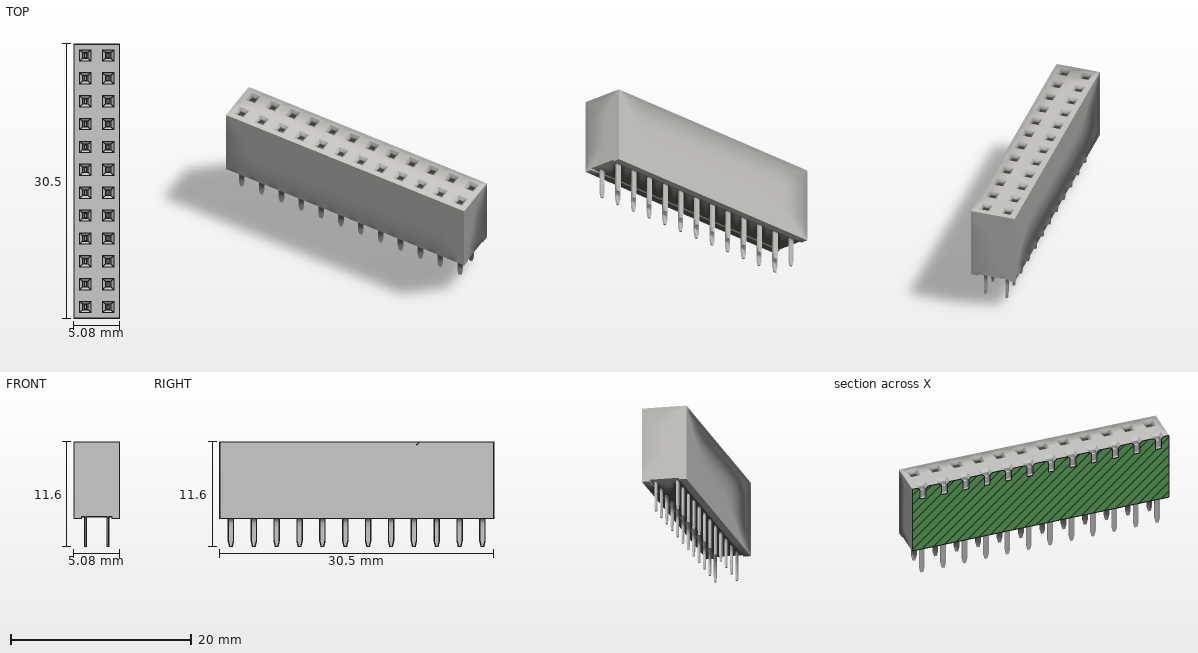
import cadquery as cq

columns = 2
rows = 12
housing_length = 30.48
pitch = housing_length / rows

housing_width = columns * pitch
housing_height = 8.5
foot_width = 0.85
foot_height = 0.18

mouth_size = 1.25
well_size = 0.65
funnel_depth = 0.3
well_depth = 1.52

strip_thickness = 0.2
strip_inset = 0.03
blade_width = 0.5
blade_top_drop = 0.6
pin_width = 0.6
pin_length = 3.1
tip_length = 0.65
tip_width = 0.3


def grid_positions():
    """Centres of all sockets, symmetric about the origin."""
    return [
        ((column - (columns - 1) / 2) * pitch, (row - (rows - 1) / 2) * pitch)
        for column in range(columns)
        for row in range(rows)
    ]


def make_housing():
    """Block whose underside is relieved between the two feet; the feet stand on Z = 0."""
    block = cq.Workplane("XY").box(
        housing_width, housing_length, housing_height, centered=(True, True, False)
    )
    relief = cq.Workplane("XY").box(
        housing_width - 2 * foot_width, housing_length, foot_height, centered=(True, True, False)
    )
    return block.cut(relief)


def make_socket():
    """Funnel and well to be removed from the top face, centred on the Z axis."""
    funnel = (
        cq.Workplane("XY", origin=(0, 0, housing_height))
        .rect(mouth_size, mouth_size)
        .workplane(offset=-funnel_depth)
        .rect(well_size, well_size)
        .loft(ruled=True)
    )
    well = cq.Workplane("XY", origin=(0, 0, housing_height - well_depth)).box(
        well_size, well_size, well_depth, centered=(True, True, False)
    )
    return funnel.union(well)


def make_contact():
    """Strip in the YZ plane, centred on the Z axis, with its tapered tip at the bottom."""
    blade_top = housing_height - blade_top_drop
    well_floor = housing_height - well_depth
    return (
        cq.Workplane("YZ")
        .moveTo(0, blade_top)
        .lineTo(blade_width / 2, blade_top)
        .lineTo(blade_width / 2, well_floor)
        .lineTo(pin_width / 2, well_floor)
        .lineTo(pin_width / 2, tip_length - pin_length)
        .lineTo(tip_width / 2, -pin_length)
        .lineTo(0, -pin_length)
        .mirrorY()
        .extrude(strip_thickness / 2, both=True)
    )


socket = make_socket().val()
contact = make_contact().val()
sockets = []
contacts = []
for x, y in grid_positions():
    inward = -strip_inset if x > 0 else strip_inset
    sockets.append(socket.translate(cq.Vector(x, y, 0)))
    contacts.append(contact.translate(cq.Vector(x + inward, y, 0)))

housing = make_housing().val().cut(*sockets)
result = cq.Workplane("XY").newObject([housing.fuse(*contacts)])